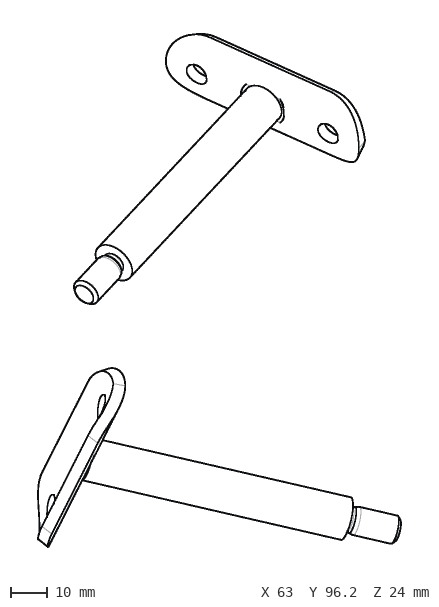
import cadquery as cq
import math


PLATE_LENGTH = 63.0
PLATE_HEIGHT = 24.0
PLATE_OUTER_RADIUS = 20.6
PLATE_THICKNESS = 3.5
PLATE_INNER_RADIUS = PLATE_OUTER_RADIUS - PLATE_THICKNESS
PLATE_HALF_ANGLE = math.asin(PLATE_HEIGHT / 2 / PLATE_OUTER_RADIUS)
CORNER_RADIUS = PLATE_HEIGHT / 2
SCREW_HOLE_DIAMETER = 6.5
SCREW_HOLE_SPACING = 42.9

SEAT_DIAMETER = 14.1
SEAT_DEPTH = 0.5

ROD_DIAMETER = 12.0

STUD_DIAMETER = 8.0
STUD_LENGTH = 14.9
STUD_TIP_CHAMFER = 1.0
NECK_DIAMETER = 6.25
NECK_LENGTH = 1.7
NECK_FILLET = 0.6
LEAD_IN_LENGTH = 1.2

ARC_MIDDLE_RATIO = 1 - math.sqrt(0.5)

CUT_CLEARANCE = 1.0

OVERALL_DEPTH = 96.2
PLATE_BACK_Y = -PLATE_INNER_RADIUS * math.cos(PLATE_HALF_ANGLE)
SEAT_Y = -(PLATE_OUTER_RADIUS - SEAT_DEPTH)
STUD_TIP_Y = PLATE_BACK_Y - OVERALL_DEPTH
ROD_END_Y = STUD_TIP_Y + STUD_LENGTH


def cylinder_along_y(diameter, y_start, y_end, x=0.0):
    """Cylinder parallel to Y that runs from y_start down to y_end."""
    return (
        cq.Workplane("XZ", origin=(x, y_start, 0))
        .circle(diameter / 2)
        .extrude(y_start - y_end)
    )


def make_curved_strip():
    """Ring sector with radial long edges, extruded along X."""
    def on_arc(radius, angle):
        return (-radius * math.cos(angle), radius * math.sin(angle))

    return (
        cq.Workplane("YZ", origin=(-PLATE_LENGTH / 2, 0, 0))
        .moveTo(*on_arc(PLATE_OUTER_RADIUS, -PLATE_HALF_ANGLE))
        .threePointArc((-PLATE_OUTER_RADIUS, 0), on_arc(PLATE_OUTER_RADIUS, PLATE_HALF_ANGLE))
        .lineTo(*on_arc(PLATE_INNER_RADIUS, PLATE_HALF_ANGLE))
        .threePointArc((-PLATE_INNER_RADIUS, 0), on_arc(PLATE_INNER_RADIUS, -PLATE_HALF_ANGLE))
        .close()
        .extrude(PLATE_LENGTH)
    )


def make_corner_waste(x_side, z_side):
    """Material outside one corner round, whose axis follows the radial long edge."""
    radial = cq.Vector(0, -math.cos(PLATE_HALF_ANGLE), z_side * math.sin(PLATE_HALF_ANGLE))
    corner = cq.Plane(
        origin=(x_side * PLATE_LENGTH / 2, 0, 0),
        xDir=(-x_side, 0, 0),
        normal=radial.toTuple(),
    )
    inward = x_side * z_side
    arc_middle = CORNER_RADIUS * ARC_MIDDLE_RATIO
    return (
        cq.Workplane(corner)
        .moveTo(0, 0)
        .lineTo(CORNER_RADIUS, 0)
        .threePointArc((arc_middle, inward * arc_middle), (0, inward * CORNER_RADIUS))
        .close()
        .extrude(PLATE_OUTER_RADIUS + CUT_CLEARANCE)
    )


def make_plate():
    """Curved plate with rounded ends, two screw holes and the rod seat."""
    body = make_curved_strip()
    for x_side in (-1, 1):
        for z_side in (-1, 1):
            body = body.cut(make_corner_waste(x_side, z_side))
        hole_x = x_side * SCREW_HOLE_SPACING / 2
        body = body.cut(cylinder_along_y(SCREW_HOLE_DIAMETER, 0, -PLATE_OUTER_RADIUS, hole_x))
    return body.cut(cylinder_along_y(SEAT_DIAMETER, SEAT_Y, -PLATE_OUTER_RADIUS))


def make_rod():
    """Plain round rod from the plate seat to the stud."""
    return cylinder_along_y(ROD_DIAMETER, SEAT_Y, ROD_END_Y)


def make_stud():
    """Turned stud: neck with a filleted root, tapered lead-in, chamfered tip."""
    radius = STUD_DIAMETER / 2
    neck_radius = NECK_DIAMETER / 2
    neck_end = ROD_END_Y - NECK_LENGTH
    fillet_middle = NECK_FILLET * ARC_MIDDLE_RATIO
    return (
        cq.Workplane("XY")
        .moveTo(0, ROD_END_Y)
        .lineTo(neck_radius, ROD_END_Y)
        .lineTo(neck_radius, neck_end + NECK_FILLET)
        .threePointArc(
            (neck_radius + fillet_middle, neck_end + fillet_middle),
            (neck_radius + NECK_FILLET, neck_end),
        )
        .lineTo(radius, neck_end - LEAD_IN_LENGTH)
        .lineTo(radius, STUD_TIP_Y + STUD_TIP_CHAMFER)
        .lineTo(radius - STUD_TIP_CHAMFER, STUD_TIP_Y)
        .lineTo(0, STUD_TIP_Y)
        .close()
        .revolve(360, (0, 0, 0), (0, 1, 0))
    )


plate = make_plate()
rod = make_rod()
stud = make_stud()

result = cq.Compound.makeCompound([plate.solids().val(), rod.val(), stud.val()])